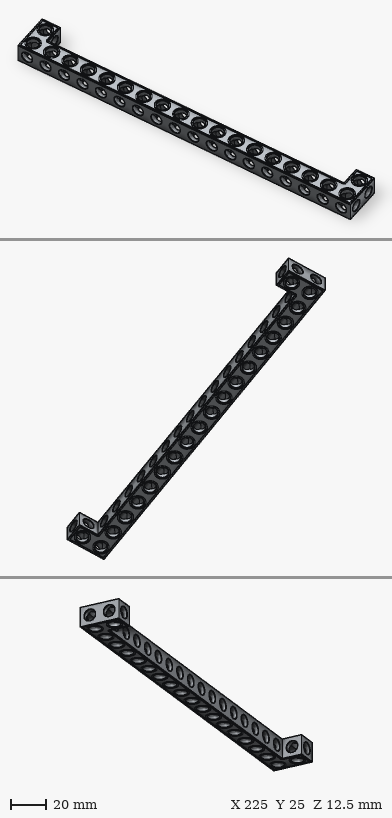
import cadquery as cq

length = 225.0
cells_long = 18
cells_deep = 2
hole_diameter = 7.0
collar_diameter = 9.2
panel_depth = 0.2
edge_chamfer = 0.3

pitch = length / cells_long
depth = cells_deep * pitch
thickness = pitch
mid_height = thickness / 2
rim_width = (collar_diameter - hole_diameter) / 2

columns = [(i + 0.5) * pitch for i in range(cells_long)]
rows = [(j + 0.5) * pitch for j in range(cells_deep)]
arm_columns = [columns[0], columns[-1]]
cell_centres = [(x, rows[0]) for x in columns] + [(x, y) for x in arm_columns for y in rows[1:]]


def outline():
    """U shape: one long row of cells with an arm one cell wide at each end."""
    points = [
        (0, 0),
        (length, 0),
        (length, depth),
        (length - pitch, depth),
        (length - pitch, pitch),
        (pitch, pitch),
        (pitch, depth),
        (0, depth),
    ]
    return cq.Workplane("XY").polyline(points).close()


def panel_recess():
    """Thin slab inside the rim, with a collar left standing around each vertical hole."""
    slab = outline().offset2D(-rim_width).extrude(panel_depth)
    collars = cq.Workplane("XY").pushPoints(cell_centres).circle(collar_diameter / 2).extrude(panel_depth)
    return slab.cut(collars).val()


def chamfered_hole(start, end):
    """Cutters for a through hole from start to end with a chamfered mouth at both ends."""
    start, end = cq.Vector(*start), cq.Vector(*end)
    radius = hole_diameter / 2
    axis = end - start
    bore = cq.Solid.makeCylinder(radius, axis.Length, start, axis)
    mouths = [
        cq.Solid.makeCone(radius + edge_chamfer, radius, edge_chamfer, point, inward)
        for point, inward in ((start, axis), (end, -axis))
    ]
    return [bore] + mouths


def hole_cutters():
    """Holes along all three axes, crossing at the centre of each cell."""
    cutters = []
    for x, y in cell_centres:
        cutters += chamfered_hole((x, y, 0), (x, y, thickness))
    for x in columns:
        back = depth if x in arm_columns else pitch
        cutters += chamfered_hole((x, 0, mid_height), (x, back, mid_height))
    cutters += chamfered_hole((0, rows[0], mid_height), (length, rows[0], mid_height))
    for y in rows[1:]:
        for x in (0, length - pitch):
            cutters += chamfered_hole((x, y, mid_height), (x + pitch, y, mid_height))
    return cutters


body = outline().extrude(thickness).faces("<Z or >Z").edges().chamfer(edge_chamfer)
lower_recess = panel_recess()
upper_recess = lower_recess.translate(cq.Vector(0, 0, thickness - panel_depth))

finished = body.val().cut(lower_recess, upper_recess, *hole_cutters())
result = cq.Workplane(finished.Solids()[0])